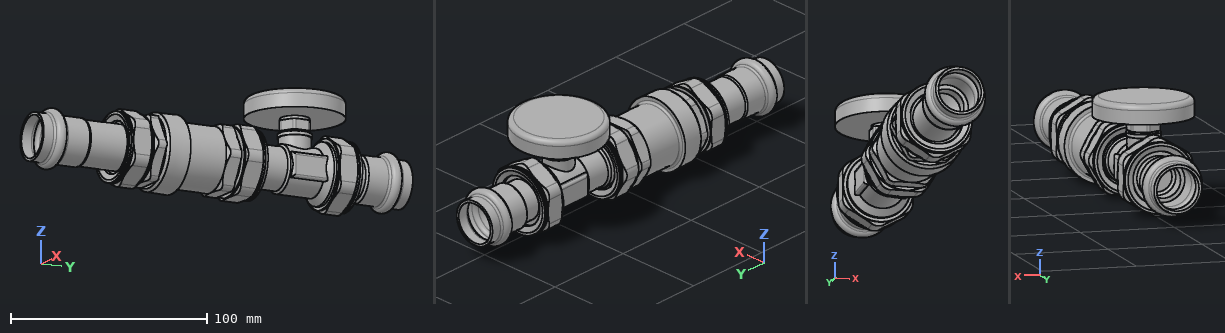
import cadquery as cq
import math


TOP_END_Y = 61.7
BOTTOM_END_Y = -152.5
PRESS_RADIUS = 25.5 / 2
PRESS_BORE_RADIUS = 22.5 / 2
WALL = PRESS_RADIUS - PRESS_BORE_RADIUS
BEAD_SETBACK = 9.9
BEAD_RADIUS = 3.2
BEAD_CENTER_RADIUS = 12.6
BEAD_BLEND = 1.3
TOP_PRESS_LENGTH = 25.5
BOTTOM_PRESS_LENGTH = 26.8
PRESS_STEP = 1.0
WATERWAY_RADIUS = 18.0 / 2
WATERWAY_DEPTH = 34.3
DRILL_POINT = 7.5
TOP_TAIL_RADIUS = 22.5 / 2
BOTTOM_TAIL_RADIUS = 24.2 / 2

NUT_LENGTH = 14.0
NUT_FLATS = 37.0
NUT_CORNER_ROUND = 6.5
NUT_BEVEL_RADIUS = 20.8
NUT_GROOVE_START = 1.3
NUT_GROOVE_DEPTH = 0.5
NUT_LIP_BAND = 2.5
NUT_LIP_BEVEL = 1.3
NUT_END_BAND = 0.9
NUT_END_BEVEL = 0.9
NUT_LIP = 3.2
NUT_LIP_RADIUS = 27.6 / 2
NUT_MOUTH_RADIUS = 17.0
NUT_MOUTH_DEPTH = 1.3
THREAD_RADIUS = 30.5 / 2
TOP_NUT_Y = 29.3
MIDDLE_NUT_Y = -25.5
BOTTOM_NUT_Y = -106.0
UNION_FACE_Y = -32.1

FLANGE_RADIUS = 16.7
FLANGE_END_Y = 14.0
BARREL_RADIUS = 26.0 / 2
BARREL_TOP_Y = 10.5
BARREL_BOTTOM_Y = -9.2
BARREL_BEVEL = 1.0
TEE_TAIL_RADIUS = 23.1 / 2
TEE_TAIL_FLARE_RADIUS = 25.3 / 2
TEE_TAIL_FLARE_TOP_Y = -24.5
TEE_TAIL_FLARE_BOTTOM_Y = -25.7
PAD_TOP_Y = 13.3
PAD_BOTTOM_Y = -8.4
PAD_WIDTH = 13.5
PAD_OUTREACH = 13.5
PAD_ROUND = 1.5
BOSS_RADIUS = 17.0 / 2
BOSS_TOP_Z = 17.1

GAUGE_RADIUS = 52.3 / 2
GAUGE_BOTTOM_Z = 27.5
GAUGE_TOP_Z = 38.0
GAUGE_ROUND = 3.0
STEM_RADIUS = 15.2 / 2
STEM_HEX_FLATS = 15.8
STEM_HEX_ROUND = 1.7
STEM_HEX_TOP_Z = 25.7
STEM_FOOT_RADIUS = 18.0 / 2
STEM_FOOT_TOP_Z = 19.0
STEM_HEX_BOTTOM_Z = 20.1

HOUSING_FLATS = 34.7
HOUSING_RADIUS = HOUSING_FLATS / 2
HOUSING_CORNER_ROUND = 4.3
HOUSING_CORNER_RISE = 2.1
HOUSING_BEVEL_LENGTH = 1.5
UPPER_HEX_TOP_Y = -41.1
UPPER_HEX_BOTTOM_Y = -49.0
LOWER_HEX_TOP_Y = -84.0
LOWER_HEX_BOTTOM_Y = -90.8
COLLAR_RADIUS = 20.5
COLLAR_TOP_Y = -71.5
COLLAR_BOTTOM_Y = -84.8
COLLAR_BEVEL = 1.5
COLLAR_RIM_RADIUS = 20.8
COLLAR_ROOT_ROUND = 1.3


def turned(outline):
    """Turn a closed (radius, Y) outline about the pipe axis."""
    return outline.close().revolve(360, (0, 0, 0), (0, 1, 0))


def rounded_hex(flats, corner_round, length):
    """Hexagonal bar along Z from Z = 0, with rounded corners and a corner on each side of X."""
    corners_across = flats / math.cos(math.pi / 6)
    return cq.Workplane("XY").polygon(6, corners_across).extrude(length).edges("|Z").fillet(corner_round)


def pipe_hex(flats, corner_round, start_y, end_y, corner_up):
    """Rounded hexagonal bar along the pipe, with corners either on top or at the sides."""
    bar = rounded_hex(flats, corner_round, end_y - start_y)
    if corner_up:
        bar = bar.rotate((0, 0, 0), (0, 0, 1), 90)
    return bar.rotate((0, 0, 0), (1, 0, 0), -90).translate((0, start_y, 0))



def add_bead(outline, tube_radius, bead_radius, blend):
    """Run an outline along a tube over one round bead that is blended into the tube."""
    reach = bead_radius + blend
    rise = tube_radius + blend - BEAD_CENTER_RADIUS
    offset = math.sqrt(reach**2 - rise**2)
    lean = math.atan2(rise, offset)
    turn = (math.pi / 2 + lean) / 2

    def blend_middle(side):
        return (
            tube_radius + blend - blend * math.cos(turn),
            BEAD_SETBACK + side * (offset - blend * math.sin(turn)),
        )

    def bead_foot(side):
        return (
            BEAD_CENTER_RADIUS + bead_radius * math.sin(lean),
            BEAD_SETBACK + side * bead_radius * math.cos(lean),
        )

    return (
        outline.lineTo(tube_radius, BEAD_SETBACK - offset)
        .threePointArc(blend_middle(-1), bead_foot(-1))
        .threePointArc((BEAD_CENTER_RADIUS + bead_radius, BEAD_SETBACK), bead_foot(1))
        .threePointArc(blend_middle(1), (tube_radius, BEAD_SETBACK + offset))
    )


def press_tail(press_length, tube_radius, length):
    """Tail with its mouth at Y = 0, running toward +Y to a solid inner end."""
    mouth = cq.Workplane("XY").lineTo(PRESS_RADIUS, 0)
    outside = turned(
        add_bead(mouth, PRESS_RADIUS, BEAD_RADIUS, BEAD_BLEND)
        .lineTo(PRESS_RADIUS, press_length)
        .lineTo(tube_radius, press_length + PRESS_STEP)
        .lineTo(tube_radius, length)
        .lineTo(0, length)
    )
    bore_mouth = cq.Workplane("XY").lineTo(PRESS_BORE_RADIUS, 0)
    bore = turned(
        add_bead(bore_mouth, PRESS_BORE_RADIUS, BEAD_RADIUS - WALL, BEAD_BLEND + WALL)
        .lineTo(PRESS_BORE_RADIUS, press_length)
        .lineTo(WATERWAY_RADIUS, press_length)
        .lineTo(WATERWAY_RADIUS, WATERWAY_DEPTH)
        .lineTo(0, WATERWAY_DEPTH + DRILL_POINT)
    )
    return outside.cut(bore)



def union_nut(corner_up):
    """Nut with its lip at Y = 0 and its threaded end toward +Y."""
    flat_radius = NUT_FLATS / 2
    end_band_start = NUT_LENGTH - NUT_END_BAND
    blank = turned(
        cq.Workplane("XY")
        .lineTo(flat_radius, 0)
        .lineTo(flat_radius, NUT_GROOVE_START)
        .lineTo(flat_radius - NUT_GROOVE_DEPTH, NUT_GROOVE_START)
        .lineTo(flat_radius - NUT_GROOVE_DEPTH, NUT_LIP_BAND)
        .lineTo(flat_radius, NUT_LIP_BAND)
        .lineTo(NUT_BEVEL_RADIUS, NUT_LIP_BAND + NUT_LIP_BEVEL)
        .lineTo(NUT_BEVEL_RADIUS, end_band_start - NUT_END_BEVEL)
        .lineTo(flat_radius, end_band_start)
        .lineTo(flat_radius, NUT_LENGTH)
        .lineTo(0, NUT_LENGTH)
    )
    bore = turned(
        cq.Workplane("XY")
        .lineTo(NUT_MOUTH_RADIUS, 0)
        .lineTo(NUT_LIP_RADIUS, NUT_MOUTH_DEPTH)
        .lineTo(NUT_LIP_RADIUS, NUT_LIP)
        .lineTo(THREAD_RADIUS, NUT_LIP)
        .lineTo(THREAD_RADIUS, NUT_LENGTH)
        .lineTo(0, NUT_LENGTH)
    )
    return blank.intersect(pipe_hex(NUT_FLATS, NUT_CORNER_ROUND, 0, NUT_LENGTH, corner_up)).cut(bore)


def facing_down(body):
    """Turn a body that runs toward +Y so that it runs toward -Y."""
    return body.rotate((0, 0, 0), (0, 0, 1), 180)


NUT_PLACES = [
    (TOP_NUT_Y, True, True),
    (MIDDLE_NUT_Y, False, True),
    (BOTTOM_NUT_Y, True, False),
]
union_nuts = []
for lip_y, corner_up, thread_down in NUT_PLACES:
    nut = union_nut(corner_up)
    if thread_down:
        nut = facing_down(nut)
    union_nuts.append(nut.translate((0, lip_y, 0)).val())



def tee_barrel():
    """Threaded end, flange, barrel and lower tail down to the middle union face."""
    flange_top_y = TOP_NUT_Y - NUT_LENGTH
    return turned(
        cq.Workplane("XY")
        .moveTo(0, TOP_NUT_Y - NUT_LIP)
        .lineTo(THREAD_RADIUS, TOP_NUT_Y - NUT_LIP)
        .lineTo(THREAD_RADIUS, flange_top_y)
        .lineTo(FLANGE_RADIUS, flange_top_y)
        .lineTo(FLANGE_RADIUS, FLANGE_END_Y)
        .lineTo(BARREL_RADIUS, BARREL_TOP_Y)
        .lineTo(BARREL_RADIUS, BARREL_BOTTOM_Y)
        .lineTo(TEE_TAIL_RADIUS, BARREL_BOTTOM_Y - BARREL_BEVEL)
        .lineTo(TEE_TAIL_RADIUS, TEE_TAIL_FLARE_TOP_Y)
        .lineTo(TEE_TAIL_FLARE_RADIUS, TEE_TAIL_FLARE_BOTTOM_Y)
        .lineTo(TEE_TAIL_FLARE_RADIUS, MIDDLE_NUT_Y - NUT_LIP)
        .lineTo(THREAD_RADIUS, MIDDLE_NUT_Y - NUT_LIP)
        .lineTo(THREAD_RADIUS, UNION_FACE_Y)
        .lineTo(0, UNION_FACE_Y)
    )


def wrench_pads():
    """Flat pads on both sides of the barrel, as one rounded bar through it."""
    length = PAD_TOP_Y - PAD_BOTTOM_Y
    bar = cq.Workplane("XY").box(2 * PAD_OUTREACH, length, PAD_WIDTH)
    bar = bar.faces("<X or >X").edges().fillet(PAD_ROUND)
    return bar.translate((0, PAD_BOTTOM_Y + length / 2, 0))


top_tail_length = TOP_END_Y - (TOP_NUT_Y - NUT_LIP)
top_tail = facing_down(press_tail(TOP_PRESS_LENGTH, TOP_TAIL_RADIUS, top_tail_length))
gauge_boss = cq.Workplane("XY").circle(BOSS_RADIUS).extrude(BOSS_TOP_Z)
gauge_tee = (
    tee_barrel()
    .union(wrench_pads())
    .union(gauge_boss)
    .union(top_tail.translate((0, TOP_END_Y, 0)))
)



def gauge_stem():
    """Round foot on the boss, and above it a hexagon between two short necks."""
    neck = cq.Workplane("XY", origin=(0, 0, BOSS_TOP_Z)).circle(STEM_RADIUS)
    foot = cq.Workplane("XY", origin=(0, 0, BOSS_TOP_Z)).circle(STEM_FOOT_RADIUS)
    stem_hex = rounded_hex(STEM_HEX_FLATS, STEM_HEX_ROUND, STEM_HEX_TOP_Z - STEM_HEX_BOTTOM_Z)
    stem_hex = stem_hex.rotate((0, 0, 0), (0, 0, 1), 90)
    return (
        neck.extrude(GAUGE_BOTTOM_Z - BOSS_TOP_Z)
        .union(foot.extrude(STEM_FOOT_TOP_Z - BOSS_TOP_Z))
        .union(stem_hex.translate((0, 0, STEM_HEX_BOTTOM_Z)))
    )


gauge_disc = (
    cq.Workplane("XY", origin=(0, 0, GAUGE_BOTTOM_Z))
    .circle(GAUGE_RADIUS)
    .extrude(GAUGE_TOP_Z - GAUGE_BOTTOM_Z)
    .faces(">Z")
    .edges()
    .fillet(GAUGE_ROUND)
)
gauge = gauge_disc.union(gauge_stem())



def housing_core():
    """Round parts of the housing, from the middle union face to the lip of the bottom nut."""
    lower_end_y = BOTTOM_NUT_Y + NUT_LIP
    return turned(
        cq.Workplane("XY")
        .moveTo(0, UNION_FACE_Y)
        .lineTo(THREAD_RADIUS, UNION_FACE_Y)
        .lineTo(THREAD_RADIUS, UPPER_HEX_TOP_Y)
        .lineTo(HOUSING_RADIUS, UPPER_HEX_TOP_Y)
        .lineTo(HOUSING_RADIUS, LOWER_HEX_BOTTOM_Y)
        .lineTo(THREAD_RADIUS, LOWER_HEX_BOTTOM_Y)
        .lineTo(THREAD_RADIUS, lower_end_y)
        .lineTo(0, lower_end_y)
    )


def housing_hex(start_y, end_y):
    """Hexagonal ring with corners at the sides, its corners beveled at the lower end."""
    corner_radius = HOUSING_RADIUS + HOUSING_CORNER_RISE
    blank = turned(
        cq.Workplane("XY")
        .moveTo(0, start_y)
        .lineTo(HOUSING_RADIUS, start_y)
        .lineTo(corner_radius, start_y + HOUSING_BEVEL_LENGTH)
        .lineTo(corner_radius, end_y)
        .lineTo(0, end_y)
    )
    return blank.intersect(pipe_hex(HOUSING_FLATS, HOUSING_CORNER_ROUND, start_y, end_y, corner_up=False))


def housing_collar():
    """Band widening slightly to its upper rim, with a flared root above and a beveled lower edge."""
    root_radius = HOUSING_RADIUS + COLLAR_ROOT_ROUND
    root_top_y = COLLAR_TOP_Y + COLLAR_ROOT_ROUND
    sag = COLLAR_ROOT_ROUND * math.sqrt(0.5)
    return turned(
        cq.Workplane("XY")
        .moveTo(0, COLLAR_BOTTOM_Y)
        .lineTo(COLLAR_RADIUS - COLLAR_BEVEL, COLLAR_BOTTOM_Y)
        .lineTo(COLLAR_RADIUS, COLLAR_BOTTOM_Y + COLLAR_BEVEL)
        .lineTo(COLLAR_RIM_RADIUS, COLLAR_TOP_Y)
        .lineTo(root_radius, COLLAR_TOP_Y)
        .threePointArc((root_radius - sag, root_top_y - sag), (HOUSING_RADIUS, root_top_y))
        .lineTo(0, root_top_y)
    )


bottom_tail_length = BOTTOM_NUT_Y + NUT_LIP - BOTTOM_END_Y
bottom_tail = press_tail(BOTTOM_PRESS_LENGTH, BOTTOM_TAIL_RADIUS, bottom_tail_length)
flow_cartridge = (
    housing_core()
    .union(housing_hex(UPPER_HEX_BOTTOM_Y, UPPER_HEX_TOP_Y))
    .union(housing_hex(LOWER_HEX_BOTTOM_Y, LOWER_HEX_TOP_Y))
    .union(housing_collar())
    .union(bottom_tail.translate((0, BOTTOM_END_Y, 0)))
)


result = cq.Compound.makeCompound(
    [
        gauge_tee.val(),
        gauge.val(),
        flow_cartridge.val(),
        *union_nuts,
    ]
)